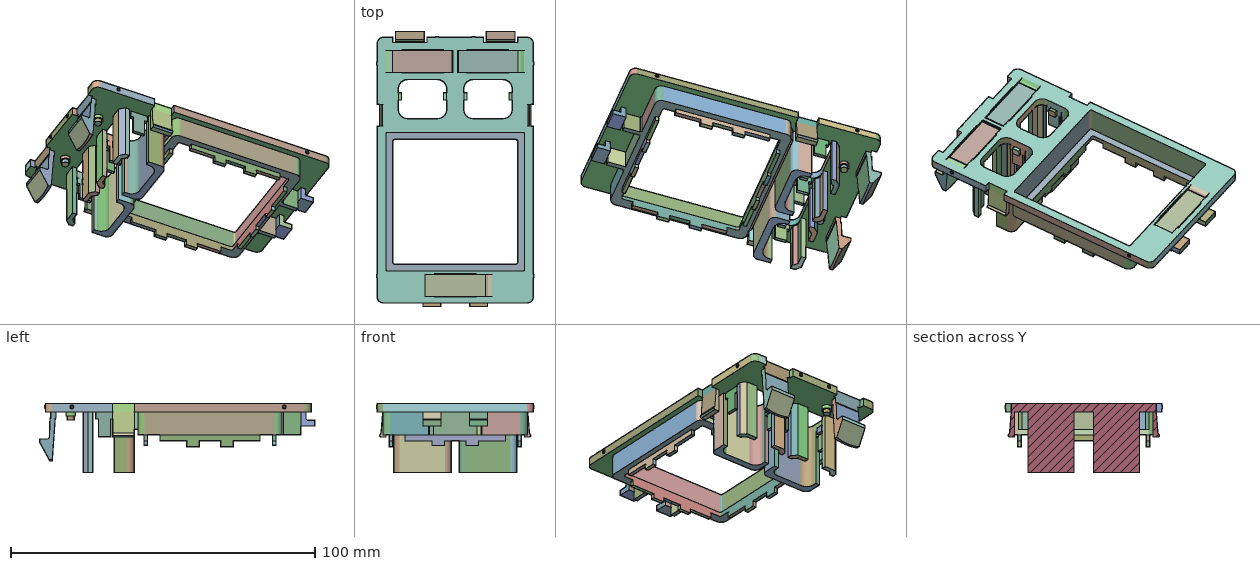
import cadquery as cq


plate_width = 51.4
plate_length = 87.4
plate_thickness = 2.9
plate_corner_radius = 2.1
part_depth = 22.8
plate_bottom = -plate_thickness

frame_center_y = 33.3
frame_pocket_size = 45.6
frame_opening_size = 41.0
frame_wall = 0.9
frame_bottom = -10.4
frame_corner_radius = 2.3
pocket_corner_radius = 0.5
opening_corner_radius = 0.6
ledge_thickness = 1.5
frame_outer_size = frame_pocket_size + 2 * frame_wall
frame_back_y = frame_center_y + frame_outer_size / 2
frame_front_y = frame_center_y - frame_outer_size / 2

rail_length = 32.9
rail_thickness = 1.3
rail_height = 1.9
tooth_width = 4.2
tooth_offset = 5.6
end_tooth_height = 1.5
side_tooth_height = 2.0

sleeve_x = 10.8
opening_width = 15.8
opening_length = 12.8
opening_radius = 3.0
opening_y = 67.1
sleeve_width = 19.0
sleeve_front_y = 58.2
sleeve_back_y = 75.0
sleeve_corner_radius = 2.1
sleeve_chamfer = 1.6
cavity_chamfer = 1.3
side_window_front_y = 64.8
side_window_back_y = 71.9
back_window_width = 7.2

tongue_y = 68.0
tongue_head_width = 6.0
tongue_head_height = 2.3
tongue_stem_width = 4.1
tongue_bottom = -11.0
tongue_thickness = 1.0
bump_width = 2.5
bump_reach = 1.1

label_length = 22.1
label_width = 7.15
label_floor_length = 20.0
label_floor_depth = 0.6
label_shelf_depth = 0.4
label_ramp_length = 1.3
label_slot_length = 13.6
label_slot_width = 7.7
back_label_y = 79.5
back_label_inner_x = 0.68
back_label_lip = 0.4
front_label_y = 5.8

hook_x = 14.9
hook_width = 9.5
hook_notch_width = 11.1
hook_notch_depth = 1.7
hook_tip_y = 89.3
hook_side_bottom = -18.5
hook_bottom = -19.0

latch_front_y = 58.2
latch_back_y = 65.3
latch_notch_depth = 1.8

tab_x = 7.7
tab_width = 5.9
tab_reach = 1.2
tab_stem_front_y = 1.7
tab_stem_back_y = 3.4
tab_foot_top = -5.5
tab_bottom = -7.5
tab_bevel = 0.4
rib_inner_x = 7.15
rib_outer_x = 8.5
rib_pad = 0.4
rib_pad_depth = 0.5

pip_radius = 0.6
pip_reach = 0.23
pip_z = -1.2
side_pip_ys = (8.9, 78.7)
back_pip_x = 6.0
stud_x = 11.8
stud_y = 79.1
stud_head_radius = 1.6
stud_head_height = 1.3
stud_tip_radius = 1.2
stud_height = 2.6


def box(x0, x1, y0, y1, z0, z1):
    """Axis-aligned block between opposite corner coordinates."""
    return cq.Workplane("XY").box(x1 - x0, y1 - y0, z1 - z0, centered=False).translate((x0, y0, z0))


def centered_box(x, y, width, length, z0, z1):
    """Block centred on (x, y) and spanning z0 to z1."""
    return box(x - width / 2, x + width / 2, y - length / 2, y + length / 2, z0, z1)


def with_mirror(body):
    """The body together with its mirror image across X = 0."""
    return body.union(body.mirror("YZ"))


def make_plate():
    plate = box(-plate_width / 2, plate_width / 2, 0, plate_length, plate_bottom, 0)
    plate = plate.edges("|Z").fillet(plate_corner_radius)
    hook_notch = box(
        hook_x - hook_notch_width / 2, hook_x + hook_notch_width / 2,
        plate_length - hook_notch_depth, plate_length, plate_bottom, 0,
    )
    latch_notch = box(
        -plate_width / 2, -plate_width / 2 + latch_notch_depth,
        latch_front_y, latch_back_y, plate_bottom, 0,
    )
    return plate.cut(with_mirror(hook_notch)).cut(with_mirror(latch_notch))


def make_frame_walls():
    walls = centered_box(0, frame_center_y, frame_outer_size, frame_outer_size, frame_bottom, plate_bottom)
    walls = walls.edges("|Z").fillet(frame_corner_radius)
    web_bottom = -8.6
    web_depth = sleeve_front_y - frame_back_y
    web_half_width = frame_outer_size / 2 - frame_corner_radius
    web = (
        cq.Workplane("XY").workplane(offset=web_bottom)
        .moveTo(-web_half_width, frame_back_y)
        .lineTo(web_half_width, frame_back_y)
        .lineTo(web_half_width - web_depth, sleeve_front_y)
        .lineTo(-web_half_width + web_depth, sleeve_front_y)
        .close().extrude(plate_bottom - web_bottom)
    )
    return walls.union(web)


def make_frame_cut():
    ledge_top = frame_bottom + ledge_thickness
    pocket = centered_box(0, frame_center_y, frame_pocket_size, frame_pocket_size, ledge_top, 0)
    pocket = pocket.edges("|Z").fillet(pocket_corner_radius)
    opening = centered_box(0, frame_center_y, frame_opening_size, frame_opening_size, frame_bottom, ledge_top)
    opening = opening.edges("|Z").fillet(opening_corner_radius)
    return pocket.union(opening)


def make_rail(tooth_height):
    """Rail along X below the back edge of an opening centred on the origin."""
    rail_y = (frame_opening_size + rail_thickness) / 2
    rail_bottom = frame_bottom - rail_height
    rail = centered_box(0, rail_y, rail_length, rail_thickness, rail_bottom, frame_bottom)
    for side in (-1, 1):
        rail = rail.union(centered_box(
            side * tooth_offset, rail_y, tooth_width, rail_thickness,
            rail_bottom - tooth_height, rail_bottom,
        ))
    return rail


def make_rails():
    end_rail = make_rail(end_tooth_height)
    side_rail = make_rail(side_tooth_height).rotate((0, 0, 0), (0, 0, 1), 90)
    half_set = end_rail.union(side_rail)
    rails = half_set.union(half_set.rotate((0, 0, 0), (0, 0, 1), 180))
    return rails.translate((0, frame_center_y, 0))


def make_sleeve():
    """Right-hand sleeve: a full front wall and two L-shaped legs at the back corners."""
    left_x = sleeve_x - sleeve_width / 2
    right_x = sleeve_x + sleeve_width / 2
    sleeve = box(left_x, right_x, sleeve_front_y, sleeve_back_y, -part_depth, plate_bottom)
    sleeve = sleeve.edges("|Z and <Y").fillet(sleeve_corner_radius)
    sleeve = sleeve.edges("|Z and >Y").chamfer(sleeve_chamfer)
    side_windows = box(left_x, right_x, side_window_front_y, side_window_back_y, -part_depth, plate_bottom)
    back_window = box(
        sleeve_x - back_window_width / 2, sleeve_x + back_window_width / 2,
        opening_y, sleeve_back_y, -part_depth, plate_bottom,
    )
    return sleeve.cut(side_windows).cut(back_window)


def make_opening():
    """Right-hand opening: rounded through the plate, chamfered at the back inside the sleeve."""
    opening = centered_box(sleeve_x, opening_y, opening_width, opening_length, plate_bottom, 0)
    opening = opening.edges("|Z").fillet(opening_radius)
    cavity = centered_box(sleeve_x, opening_y, opening_width, opening_length, -part_depth, plate_bottom)
    cavity = cavity.edges("|Z and <Y").fillet(opening_radius)
    cavity = cavity.edges("|Z and >Y").chamfer(cavity_chamfer)
    return opening.union(cavity)


def make_tongue(side):
    """T-shaped tongue beside the right-hand opening; side is +1 for outer, -1 for inner."""
    head_bottom = plate_bottom - tongue_head_height
    wall_x = sleeve_x + side * opening_width / 2
    body_x = wall_x + side * tongue_thickness / 2
    head = centered_box(body_x, tongue_y, tongue_thickness, tongue_head_width, head_bottom, plate_bottom)
    stem = centered_box(body_x, tongue_y, tongue_thickness, tongue_stem_width, tongue_bottom, head_bottom)
    bump = centered_box(
        wall_x - side * bump_reach / 2, tongue_y, bump_reach, bump_width,
        head_bottom, plate_bottom,
    )
    return head.union(stem).union(bump)


def make_label_cut(lip):
    """Label recess starting at X = 0, with a finger ramp at its +X end."""
    shelf = (
        cq.Workplane("XZ").moveTo(0, 0)
        .lineTo(0, -label_shelf_depth)
        .lineTo(label_length - label_ramp_length, -label_shelf_depth)
        .lineTo(label_length, 0)
        .close().extrude(label_width / 2, both=True)
    )
    floor = box(lip, label_floor_length, -label_width / 2, label_width / 2, -label_floor_depth, 0)
    slot = centered_box(label_floor_length / 2, 0, label_slot_length, label_slot_width, -label_shelf_depth, 0)
    return shelf.union(floor).union(slot)


def make_hook():
    root_front_y = 83.9
    root_back_y = plate_length - hook_notch_depth
    root_bottom = -4.9
    neck_step = 0.3
    neck_back_y = 86.2
    barb_top = -11.7
    barb_lip_bottom = -12.85
    barb_root_bevel = 0.45
    point_front_y = 85.2
    point_back_y = 86.0
    profile = (
        cq.Workplane("YZ")
        .moveTo(root_front_y, plate_bottom)
        .lineTo(root_front_y, root_bottom)
        .lineTo(root_front_y + neck_step, root_bottom)
        .lineTo(point_front_y, hook_bottom)
        .lineTo(point_back_y, hook_bottom)
        .lineTo(hook_tip_y, barb_lip_bottom)
        .lineTo(hook_tip_y, barb_top)
        .lineTo(neck_back_y + barb_root_bevel, barb_top)
        .lineTo(neck_back_y, barb_top + barb_root_bevel)
        .lineTo(root_back_y + neck_step, root_bottom)
        .lineTo(root_back_y, root_bottom)
        .lineTo(root_back_y, plate_bottom)
        .close().extrude(hook_width / 2, both=True)
    )
    outline = (
        cq.Workplane("XZ").workplane(offset=-hook_tip_y)
        .moveTo(-hook_width / 2, plate_bottom)
        .lineTo(-hook_width / 2, hook_side_bottom)
        .threePointArc((0, hook_bottom), (hook_width / 2, hook_side_bottom))
        .lineTo(hook_width / 2, plate_bottom)
        .close().extrude(hook_tip_y - root_front_y)
    )
    return profile.intersect(outline).translate((hook_x, 0, 0))


def make_latch():
    """Right-hand side latch: a leaning panel with a barb along its lower edge."""
    inner_x = 22.7
    root_x = plate_width / 2 - latch_notch_depth
    panel_foot_x = 24.4
    barb_x = 25.0
    panel_foot_z = -9.8
    barb_z = -10.6
    latch_bottom = -11.1
    return (
        cq.Workplane("XZ").workplane(offset=-latch_back_y)
        .moveTo(inner_x, plate_bottom)
        .lineTo(root_x, plate_bottom)
        .lineTo(panel_foot_x, panel_foot_z)
        .lineTo(barb_x, barb_z)
        .lineTo(panel_foot_x, latch_bottom)
        .lineTo(inner_x, latch_bottom)
        .close().extrude(latch_back_y - latch_front_y)
    )


def make_tab():
    """Right-hand L-shaped tab with a bevelled inner corner, and the rib that backs it."""
    tab = (
        cq.Workplane("YZ").workplane(offset=tab_x)
        .moveTo(tab_stem_back_y, plate_bottom)
        .lineTo(tab_stem_back_y, tab_bottom)
        .lineTo(-tab_reach, tab_bottom)
        .lineTo(-tab_reach, tab_foot_top)
        .lineTo(tab_stem_front_y - tab_bevel, tab_foot_top)
        .lineTo(tab_stem_front_y, tab_foot_top + tab_bevel)
        .lineTo(tab_stem_front_y, plate_bottom)
        .close().extrude(tab_width / 2, both=True)
    )
    rib = box(rib_inner_x, rib_outer_x, tab_stem_back_y, frame_front_y, frame_bottom, plate_bottom)
    pad = box(
        rib_inner_x, rib_outer_x + rib_pad, frame_front_y - rib_pad_depth, frame_front_y,
        frame_bottom, plate_bottom,
    )
    return tab.union(rib).union(pad)


def make_pips():
    side_pips = cq.Workplane("YZ").workplane(offset=plate_width / 2)
    side_pips = side_pips.pushPoints([(y, pip_z) for y in side_pip_ys]).circle(pip_radius)
    side_pips = side_pips.extrude(pip_reach, taper=45)
    back_pip = (
        cq.Workplane("XZ").workplane(offset=-plate_length)
        .center(back_pip_x, pip_z).circle(pip_radius).extrude(-pip_reach, taper=45)
    )
    return side_pips.union(back_pip)


def make_stud():
    top = cq.Workplane("XY").workplane(offset=plate_bottom).center(stud_x, stud_y)
    head = top.circle(stud_head_radius).extrude(-stud_head_height)
    return head.union(top.circle(stud_tip_radius).extrude(-stud_height))


result = make_plate().union(make_frame_walls()).union(with_mirror(make_sleeve()))
result = result.cut(make_frame_cut()).cut(with_mirror(make_opening()))

back_label = make_label_cut(back_label_lip).translate((back_label_inner_x, back_label_y, 0))
front_label = make_label_cut(0).translate((-label_floor_length / 2, front_label_y, 0))
result = result.cut(with_mirror(back_label)).cut(front_label)

result = result.union(make_rails())
for feature in (
    make_tongue(1), make_tongue(-1), make_hook(), make_latch(), make_tab(), make_pips(), make_stud(),
):
    result = result.union(with_mirror(feature))